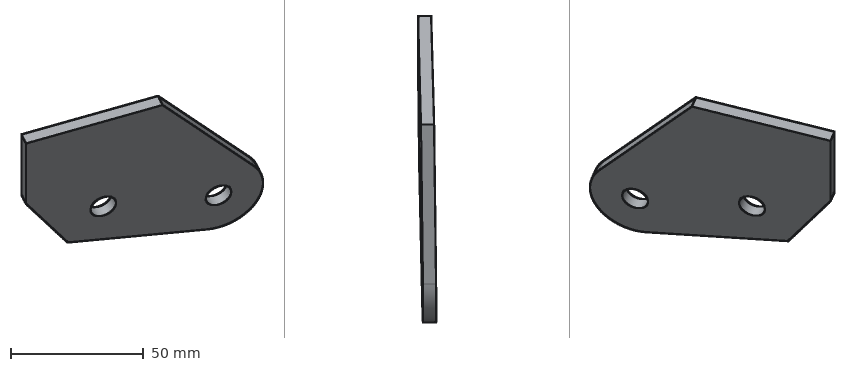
import cadquery as cq
import math

length = 95.6
height = 77.65
thickness = 5.0
nose_radius = 18.0
hole_diameter = 10.2

top_corner = (55.1, height)
edge_bottom = (0, 43.7)
lower_corner = (16.8, 15.3)

nose_center = (length - nose_radius, nose_radius)
inner_hole = (31.2, 30.0)


def nose_point(angle):
    """Point on the rounded nose at the given angle from +Y."""
    return (
        nose_center[0] + nose_radius * math.cos(angle),
        nose_center[1] + nose_radius * math.sin(angle),
    )


def tangent_angle(corner, side):
    """Angle on the nose where a line from the corner is tangent; side is +1 or -1."""
    dy = corner[0] - nose_center[0]
    dz = corner[1] - nose_center[1]
    return math.atan2(dz, dy) + side * math.acos(nose_radius / math.hypot(dy, dz))


upper_tangent = nose_point(tangent_angle(top_corner, -1))
lower_tangent = nose_point(tangent_angle(lower_corner, 1))
nose_tip = nose_point(0)

plate = (
    cq.Workplane("YZ")
    .moveTo(0, height)
    .lineTo(*top_corner)
    .lineTo(*upper_tangent)
    .threePointArc(nose_tip, lower_tangent)
    .lineTo(*lower_corner)
    .lineTo(*edge_bottom)
    .close()
    .extrude(thickness)
)

holes = (
    cq.Workplane("YZ")
    .pushPoints([nose_center, inner_hole])
    .circle(hole_diameter / 2)
    .extrude(thickness)
)

result = plate.cut(holes)